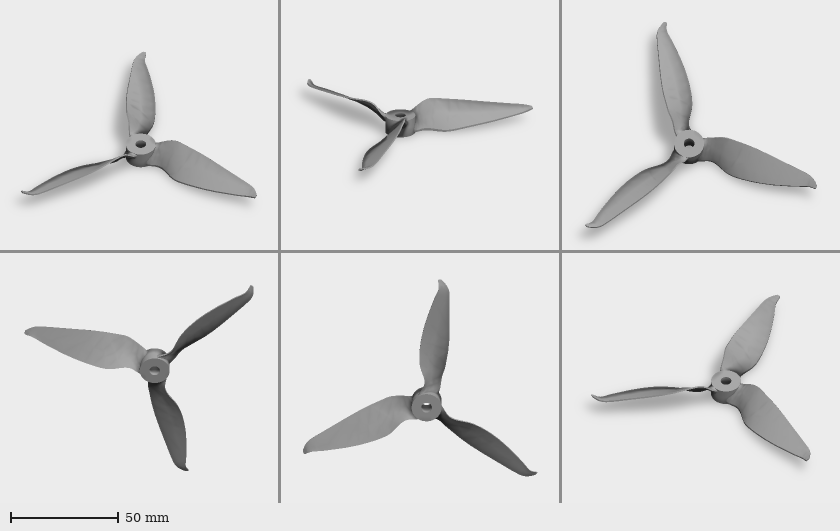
import cadquery as cq
import math

HUB_DIAMETER = 14.0
HUB_HEIGHT = 8.3
BORE_DIAMETER = 5.0

BLADE_COUNT = 3
CAMBER_RATIO = 0.015
BLADE_THICKNESS = 0.7
TIP_RADIUS = 63.05
ROOT_SWELL = 1.2
ROOT_SWELL_END = 10.0

BLADE_STATIONS = [
    (3.5, (-4.9, 1.3), (5.0, 7.0)),
    (7.0, (-4.0, 1.2), (5.2, 8.3)),
    (9.5, (-2.95, 1.1), (5.3, 10.2)),
    (12.0, (-2.6, 1.0), (5.5, 11.8)),
    (15.5, (-3.6, 0.68), (6.2, 12.6)),
    (20.0, (-5.75, 0.55), (6.4, 12.05)),
    (25.0, (-6.9, 1.2), (6.5, 11.1)),
    (30.0, (-7.2, 2.0), (6.3, 10.3)),
    (40.0, (-6.6, 3.0), (5.2, 8.8)),
    (50.0, (-4.8, 3.8), (3.8, 7.4)),
    (56.0, (-3.3, 4.2), (3.0, 6.7)),
    (59.0, (-2.55, 4.5), (2.1, 6.5)),
    (61.0, (-2.75, 5.2), (0.75, 6.5)),
    (TIP_RADIUS, (-3.1, 6.2), (-1.6, 6.6)),
]


def root_swell_at(radius):
    """Full swell inside the hub, fading quadratically outside it."""
    fade = (ROOT_SWELL_END - radius) / (ROOT_SWELL_END - HUB_DIAMETER / 2)
    return ROOT_SWELL * min(1.0, max(0.0, fade)) ** 2


def section_wire(radius, low_edge, high_edge):
    """Cambered plate section normal to X: vertical low rim, high rim square to the chord."""
    chord_y = high_edge[0] - low_edge[0]
    chord_z = high_edge[1] - low_edge[1]
    chord = math.hypot(chord_y, chord_z)
    normal_y = -chord_z / chord
    normal_z = chord_y / chord

    def point(along, offset):
        return cq.Vector(
            radius,
            low_edge[0] + along * chord_y + offset * normal_y,
            low_edge[1] + along * chord_z + offset * normal_z,
        )

    half = BLADE_THICKNESS / 2
    half_at_middle = half + root_swell_at(radius)
    sagitta = CAMBER_RATIO * chord
    low_rim_offset = cq.Vector(0, 0, half / normal_z)
    low_top = point(0, 0) + low_rim_offset
    high_top = point(1, half)
    high_bottom = point(1, -half)
    low_bottom = point(0, 0) - low_rim_offset
    return cq.Wire.assembleEdges([
        cq.Edge.makeThreePointArc(low_top, point(0.5, sagitta + half_at_middle), high_top),
        cq.Edge.makeLine(high_top, high_bottom),
        cq.Edge.makeThreePointArc(high_bottom, point(0.5, sagitta - half_at_middle), low_bottom),
        cq.Edge.makeLine(low_bottom, low_top),
    ])


def make_blade():
    """Twisted blade lofted smoothly from inside the hub to the tip."""
    sections = [section_wire(*station) for station in BLADE_STATIONS]
    return cq.Workplane(cq.Solid.makeLoft(sections))


def make_propeller():
    hub = cq.Workplane("XY").circle(HUB_DIAMETER / 2).extrude(HUB_HEIGHT)
    blade = make_blade()
    body = hub
    for index in range(BLADE_COUNT):
        angle = index * 360 / BLADE_COUNT
        body = body.union(blade.rotate((0, 0, 0), (0, 0, 1), angle))
    above_hub = (
        cq.Workplane("XY")
        .workplane(offset=HUB_HEIGHT)
        .circle(HUB_DIAMETER / 2)
        .extrude(HUB_HEIGHT)
    )
    bore = cq.Workplane("XY").circle(BORE_DIAMETER / 2).extrude(HUB_HEIGHT)
    return body.cut(above_hub).cut(bore)


result = make_propeller()